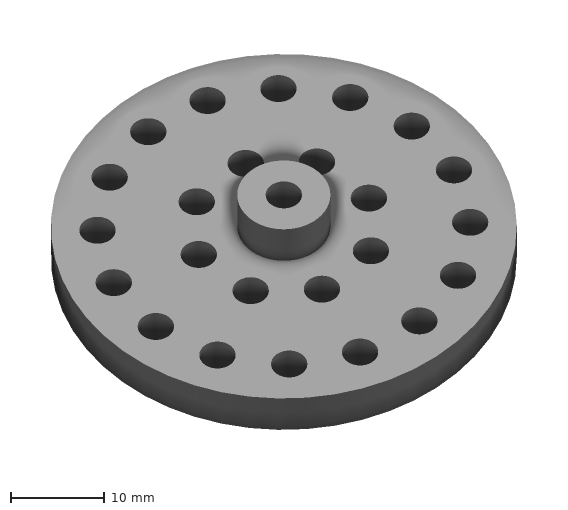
import cadquery as cq

disc_diameter = 50.0
disc_thickness = 5.0
hub_diameter = 10.0
hub_height = 5.0
hole_diameter = 3.9

inner_ring_radius = 10.0
inner_ring_count = 8
outer_ring_radius = 20.0
outer_ring_count = 16

total_height = disc_thickness + hub_height


def make_body():
    """Round disc resting on Z = 0 with a central hub on its top face."""
    disc = cq.Workplane("XY").circle(disc_diameter / 2).extrude(disc_thickness)
    hub = cq.Workplane("XY").circle(hub_diameter / 2).extrude(total_height)
    return disc.union(hub)


def make_bore():
    """Cutter for the central through bore."""
    return cq.Workplane("XY").circle(hole_diameter / 2).extrude(total_height)


def make_hole_ring(ring_radius, hole_count):
    """Cutter for evenly spaced through holes, the first one on the +X axis."""
    return (
        cq.Workplane("XY")
        .polarArray(ring_radius, 0, 360, hole_count)
        .circle(hole_diameter / 2)
        .extrude(disc_thickness)
    )


result = make_body().cut(make_bore())
for radius, count in (
    (inner_ring_radius, inner_ring_count),
    (outer_ring_radius, outer_ring_count),
):
    result = result.cut(make_hole_ring(radius, count))